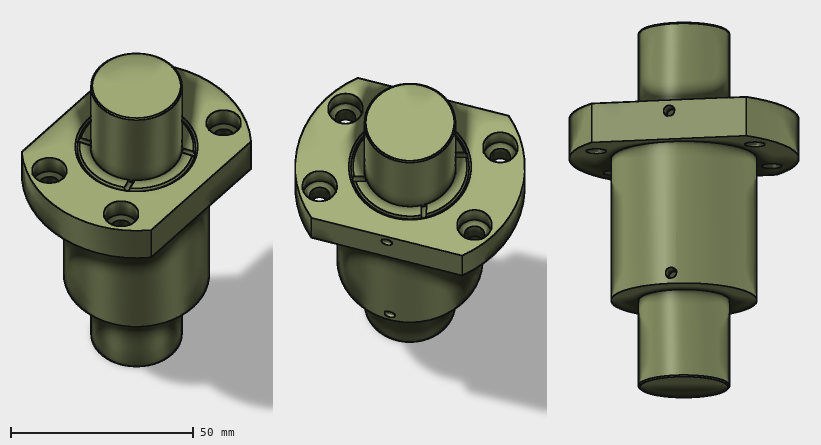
import cadquery as cq
import math

shaft_diameter = 25.0
shaft_length = 100.0
shaft_chamfer = 0.4

nut_diameter = 40.0
nut_length = 51.0
nut_bottom = (shaft_length - nut_length) / 2
nut_top = nut_bottom + nut_length
flange_diameter = 63.0
flange_width = 46.0
flange_thickness = 11.0

bolt_circle_diameter = 51.0
bolt_angle = 60.0
bolt_hole_diameter = 5.5
counterbore_diameter = 9.5
counterbore_depth = 5.5

oil_hole_diameter = 3.0
oil_hole_edge_distance = 3.0
oil_hole_depth = 5.0

bore_diameter = 25.2
bore_gap_depth = 1.0
seal_diameter = 32.4
seal_chamfer = 0.6

seal_groove_count = 4
seal_groove_diameter = 1.5
seal_groove_angle = 106.0
seal_groove_offset = 3.8


def make_shaft():
    shaft = cq.Workplane("XY").circle(shaft_diameter / 2).extrude(shaft_length)
    return shaft.faces("<Z or >Z").chamfer(shaft_chamfer)


def make_nut():
    body = cq.Workplane("XY", origin=(0, 0, nut_bottom)).circle(nut_diameter / 2).extrude(nut_length)
    flange_plane = cq.Workplane("XY", origin=(0, 0, nut_top - flange_thickness))
    flange = flange_plane.circle(flange_diameter / 2).extrude(flange_thickness)
    flats = flange_plane.rect(flange_width, flange_diameter).extrude(flange_thickness)
    return body.union(flange.intersect(flats))


def cut_mounting_holes(nut):
    x = bolt_circle_diameter / 2 * math.cos(math.radians(bolt_angle))
    y = bolt_circle_diameter / 2 * math.sin(math.radians(bolt_angle))
    return (
        nut.faces(">Z")
        .workplane(origin=(0, 0, nut_top))
        .rect(2 * x, 2 * y, forConstruction=True)
        .vertices()
        .cboreHole(bolt_hole_diameter, counterbore_diameter, counterbore_depth)
    )


def oil_hole(surface_x, z):
    return (
        cq.Workplane("YZ", origin=(surface_x, 0, z))
        .circle(oil_hole_diameter / 2)
        .extrude(oil_hole_depth)
    )


def cut_oil_holes(nut):
    upper = oil_hole(-flange_width / 2, nut_top - oil_hole_edge_distance)
    lower = oil_hole(-nut_diameter / 2, nut_bottom + oil_hole_edge_distance)
    return nut.cut(upper).cut(lower)


def seal_edge_groove():
    """V-groove formed by the facing chamfers of the seal and its seat."""
    seal_radius = seal_diameter / 2
    return (
        cq.Workplane("XZ")
        .moveTo(seal_radius - seal_chamfer, nut_top)
        .lineTo(seal_radius, nut_top - seal_chamfer)
        .lineTo(seal_radius + seal_chamfer, nut_top)
        .close()
        .revolve(360, (0, 0, 0), (0, 1, 0))
    )


def seal_groove(angle):
    start = math.sqrt((shaft_diameter / 2) ** 2 - seal_groove_offset ** 2)
    end = math.sqrt((seal_diameter / 2) ** 2 - seal_groove_offset ** 2)
    groove = (
        cq.Workplane("YZ", origin=(start, seal_groove_offset, nut_top))
        .circle(seal_groove_diameter / 2)
        .extrude(end - start)
    )
    return groove.rotate((0, 0, 0), (0, 0, 1), angle)


def cut_seal_details(nut):
    bore_gap = (
        cq.Workplane("XY", origin=(0, 0, nut_top - bore_gap_depth))
        .circle(bore_diameter / 2)
        .extrude(bore_gap_depth)
    )
    for index in range(seal_groove_count):
        nut = nut.cut(seal_groove(seal_groove_angle + index * 360 / seal_groove_count))
    return nut.cut(bore_gap).cut(seal_edge_groove())


nut = cut_seal_details(cut_oil_holes(cut_mounting_holes(make_nut())))
result = nut.union(make_shaft())